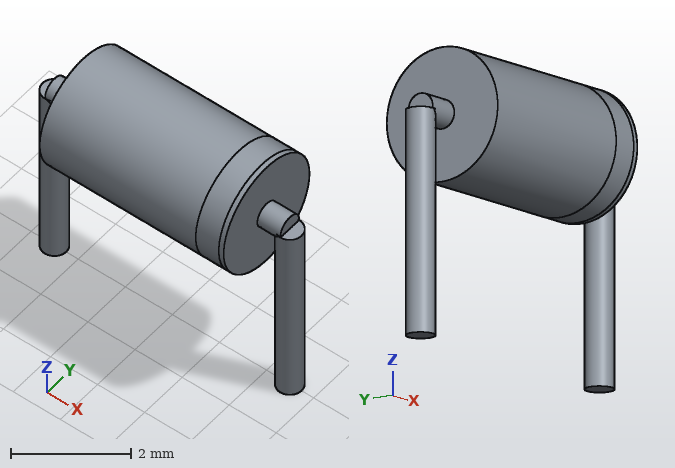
import cadquery as cq

overall_length = 5.5
overall_height = 5.03
barrel_diameter = 2.3
wire_diameter = 0.5
leg_height = 3.85
barrel_start = -1.9
main_length = 3.31
band_length = 0.49
end_length = 0.105

axis_height = overall_height - barrel_diameter / 2
leg_offset = (overall_length - wire_diameter) / 2
band_start = barrel_start + main_length
end_start = band_start + band_length
barrel_end = end_start + end_length


def axial_cylinder(start, end, diameter):
    """Cylinder on the barrel axis between two X positions."""
    return (
        cq.Workplane("YZ", origin=(start, 0, axis_height))
        .circle(diameter / 2)
        .extrude(end - start)
    )


def make_leg(x):
    """Vertical wire standing on Z = 0."""
    return cq.Workplane("XY", origin=(x, 0, 0)).circle(wire_diameter / 2).extrude(leg_height)


def make_axial_lead(start, end, leg):
    """Horizontal wire from the barrel to a leg axis, trimmed to sit on the leg."""
    return axial_cylinder(start, end, wire_diameter).cut(leg)


main_body = axial_cylinder(barrel_start, band_start, barrel_diameter)
band = axial_cylinder(band_start, end_start, barrel_diameter)
end_disc = axial_cylinder(end_start, barrel_end, barrel_diameter)

legs = []
axial_leads = []
for leg_x, barrel_face in ((-leg_offset, barrel_start), (leg_offset, barrel_end)):
    leg = make_leg(leg_x)
    lead_start = min(leg_x, barrel_face)
    lead_end = max(leg_x, barrel_face)
    legs.append(leg.val())
    axial_leads.append(make_axial_lead(lead_start, lead_end, leg).val())

result = cq.Compound.makeCompound(
    [main_body.val(), band.val(), end_disc.val(), *legs, *axial_leads]
)